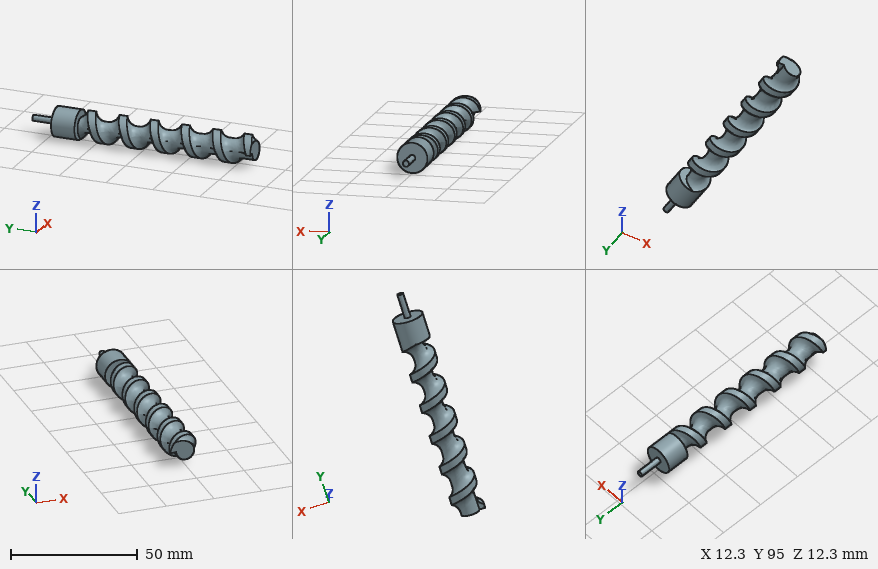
import cadquery as cq
import math


METERING_LENGTH = 20.0
COMPRESSION_LENGTH = 30.0
FEED_LENGTH = 25.0
HEAD_LENGTH = 10.0
PIN_LENGTH = 10.0

SCREW_DIAMETER = 12.33
PIN_DIAMETER = 2.5
FEED_CORE_DIAMETER = 5.5
METERING_CORE_DIAMETER = 7.5

PITCH = 40.0 / 3.0
LAND_WIDTH = 3.4
FLANK_ARC_RADIUS = 4.25

OVERCUT = 0.2
SWEEP_TURNS = 0.5
SECTIONS_PER_SWEEP = 3
RUN_OUT_TURNS = 0.9

FEED_START = METERING_LENGTH + COMPRESSION_LENGTH
HEAD_START = FEED_START + FEED_LENGTH
PIN_START = HEAD_START + HEAD_LENGTH
SCREW_RADIUS = SCREW_DIAMETER / 2
PIN_RADIUS = PIN_DIAMETER / 2
FEED_CORE_RADIUS = FEED_CORE_DIAMETER / 2
METERING_CORE_RADIUS = METERING_CORE_DIAMETER / 2
CUT_RADIUS = SCREW_RADIUS + OVERCUT


def core_radius(station):
    """Core radius: constant in the metering and feed zones, conical between them."""
    share = (station - METERING_LENGTH) / COMPRESSION_LENGTH
    share = min(max(share, 0.0), 1.0)
    return METERING_CORE_RADIUS + share * (FEED_CORE_RADIUS - METERING_CORE_RADIUS)


def flank_reach(height):
    """Axial distance in which the flank arc climbs to a height above the root."""
    return math.sqrt(height * (2 * FLANK_ARC_RADIUS - height))


def groove_flank(land_edge, inward):
    """(radius, station) points at the top, middle and root end of a flank arc.

    The arc runs out level at the root. `inward` is 1 or -1, the direction along the axis
    from the flank into the groove.
    """
    foot = land_edge + inward * flank_reach(SCREW_RADIUS - core_radius(land_edge))
    root = core_radius(foot)
    root_end = land_edge + inward * flank_reach(SCREW_RADIUS - root)

    def arc_point(height):
        return root + height, root_end - inward * flank_reach(height)

    full_height = CUT_RADIUS - root
    return arc_point(full_height), arc_point(full_height / 2), arc_point(0)


def axial_plane(turns):
    """Half plane through the screw axis that the flight reaches after `turns`."""
    angle = 2 * math.pi * turns
    outward = (math.cos(angle), math.sin(angle), 0)
    normal = (math.sin(angle), -math.cos(angle), 0)
    return cq.Workplane(cq.Plane((0, 0, 0), xDir=outward, normal=normal))


def close_at_next_flight(outline, turns):
    """Run an outline along the root and up the flank of the flight's next turn."""
    next_edge = PITCH * (turns + 1) - LAND_WIDTH / 2
    top, middle, root_end = groove_flank(next_edge, -1)
    return outline.lineTo(*root_end).threePointArc(middle, top).close().val()


def groove_section(turns):
    """Groove outline between one turn of the flight and the next."""
    top, middle, root_end = groove_flank(PITCH * turns + LAND_WIDTH / 2, 1)
    outline = axial_plane(turns).moveTo(*top).threePointArc(middle, root_end)
    return close_at_next_flight(outline, turns)


def tip_section(turns):
    """Outline from beyond the tip to the first flank, where no flight precedes it."""
    open_end = PITCH * turns - OVERCUT
    outline = axial_plane(turns).moveTo(CUT_RADIUS, open_end).lineTo(METERING_CORE_RADIUS, open_end)
    return close_at_next_flight(outline, turns)


def sweep_sections(section, start, turns):
    """Solid that runs through the sections along the helix from `start` for `turns`."""
    path = cq.Wire.makeHelix(PITCH, turns * PITCH, SCREW_RADIUS)
    path = path.rotate(cq.Vector(0, 0, 0), cq.Vector(0, 0, 1), 360 * start)
    path = path.translate(cq.Vector(0, 0, start * PITCH))
    steps = range(SECTIONS_PER_SWEEP + 1)
    wires = [section(start + turns * step / SECTIONS_PER_SWEEP) for step in steps]
    return cq.Solid.sweep_multi(wires, path, makeSolid=True, isFrenet=True)


def make_screw():
    """Flighted stretch, left standing where the groove is cut from a plain rod."""
    screw = cq.Workplane("XY").circle(SCREW_RADIUS).extrude(HEAD_START)

    tip_turns = RUN_OUT_TURNS / 2
    for start in (-tip_turns, -RUN_OUT_TURNS):
        screw = screw.cut(cq.Workplane(sweep_sections(tip_section, start, tip_turns)))

    sweep_count = math.ceil(HEAD_START / PITCH / SWEEP_TURNS)
    for index in range(sweep_count):
        groove = sweep_sections(groove_section, index * SWEEP_TURNS, SWEEP_TURNS)
        screw = screw.cut(cq.Workplane(groove))
    return screw


def make_shank():
    """Plain head with the drive pin on its end."""
    head = cq.Workplane("XY").workplane(offset=HEAD_START).circle(SCREW_RADIUS).extrude(HEAD_LENGTH)
    pin = cq.Workplane("XY").workplane(offset=PIN_START).circle(PIN_RADIUS).extrude(PIN_LENGTH)
    return head.union(pin)


def turn_onto_y(part):
    """Bring the axis from Z to Y and the start of the flight from +X to -X."""
    part = part.rotate((0, 0, 0), (0, 0, 1), 180)
    return part.rotate((0, 0, 0), (1, 0, 0), -90)


result = turn_onto_y(make_screw().union(make_shank()))